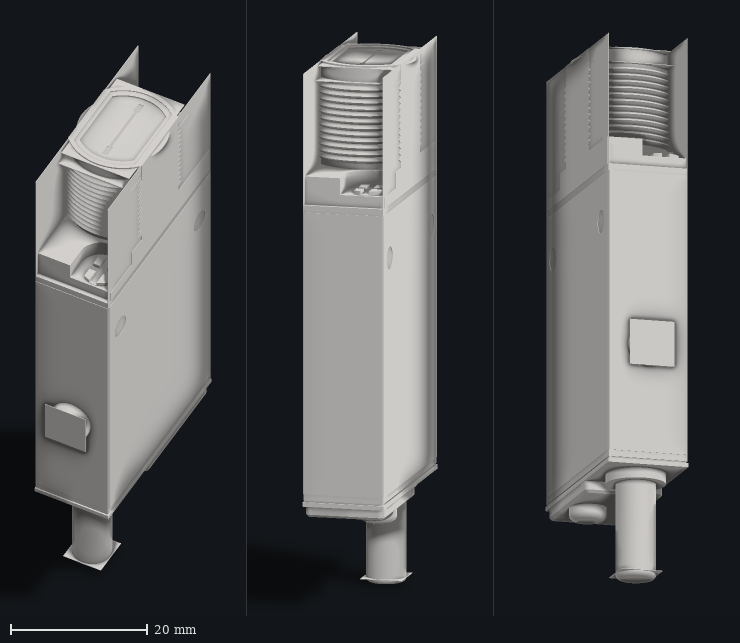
import cadquery as cq
import math

WIDTH = 12.3
DEPTH = 32.0
CASE_BOTTOM = 16.8
CASE_TOP = 59.95
CASE_CHAMFER_X = 0.2
CASE_CHAMFER_Y = 0.5
BAND_INSET = 0.2
LOWER_BAND_TOP = 17.75

BASE_BOTTOM = 15.9
GROOVE_HEIGHT = 0.25
GROOVE_DEPTH = 0.25

HEAD_DEPTH = 30.5
HEAD_BAND_TOP = 61.0
SHOULDER_Z = 65.2
POCKET_FLOOR_Z = 62.7
POCKET_OVERLAP = 0.65
POCKET_WALL_Y = 8.6
POCKET_CORNER_RADIUS = 3.2

SCREW_X = 3.0
SCREW_Y = 12.3
SCREW_RADIUS = 2.75
SCREW_FLAT_X = 1.3
SCREW_RISE = 0.65
SCREW_SLOT_WIDTH = 1.2
SCREW_SLOT_DEPTH = 0.6

TOP_Z = 80.7
ROOT_RADIUS = 8.3
CREST_RADIUS = 9.0
THREAD_BOTTOM = 66.1
THREAD_TOP = 78.25
THREAD_PITCH = 1.0
LENS_HALF_WIDTH = 4.5
LENS_RADIUS = 6.8
LENS_RIM_HALF_WIDTH = 5.2
LENS_RIM_RADIUS = 7.7
RIM_RECESS = 0.2
LENS_RECESS = 0.4
MARK_DEPTH = 0.1
MARK_LENGTH = 11.45
MARK_WIDTH = 0.4
MARK_END_LENGTH = 1.7
MARK_END_WIDTH = 0.9

SHEET = 0.1
SIDE_PLATE_INSET = 0.1
TOP_COLLAR_SIZE = (11.3, 17.3)
TOP_COLLAR_DROP = 0.25
THREAD_COLLAR_SIZE = (WIDTH, 17.75)
BULGE_Z = 80.1
BULGE_REACH = 6.85
BULGE_HALF_CHORD = 3.1

MOUNT_Y = 12.3
MOUNT_Z = 53.0
MOUNT_DIAMETER = 3.4
MOUNT_DEPTH = 0.1

BUTTON_Z = 33.8
BUTTON_RADIUS = 3.2
BUTTON_REACH = 1.9
BUTTON_PLATE_SIDE = 6.8

COVER_WIDTH = 11.95
COVER_Y_MIN = -3.8
COVER_Y_MAX = 15.3
COVER_BOTTOM = 14.2
COVER_CORNER_RADIUS = 0.8
COVER_CHAMFER = 0.4
KNOB_X = -2.75
KNOB_Y = 5.7
KNOB_RADIUS = 2.75
KNOB_BOTTOM = 12.2
KNOB_ROUND = 1.0
GLAND_RADIUS = 4.4
GLAND_BOTTOM = 14.4

CABLE_Y = -9.6
CABLE_RADIUS = 3.0
CABLE_END_ROUND = 0.7
CABLE_PLATE_SIDE = 6.3


def block(width, depth, bottom, top):
    """Upright block centred on the Z axis."""
    return cq.Workplane("XY").workplane(offset=bottom).rect(width, depth).extrude(top - bottom)


def post(x, y, radius, bottom, top):
    """Upright cylinder."""
    return cq.Workplane("XY").workplane(offset=bottom).center(x, y).circle(radius).extrude(top - bottom)


def flatted_disc(half_width, radius, bottom, top):
    """Disc centred on the Z axis, cut flat on the -X and +X sides."""
    return post(0, 0, radius, bottom, top).intersect(block(2 * half_width, 2 * radius, bottom, top))


def make_band(bottom, top):
    """Material to cut away for a shallow band set back from the walls."""
    core = block(WIDTH - BAND_INSET, DEPTH - BAND_INSET, bottom, top)
    return block(WIDTH, DEPTH, bottom, top).cut(core)


def make_case():
    side_half = DEPTH / 2 - CASE_CHAMFER_Y
    end_half = WIDTH / 2 - CASE_CHAMFER_X
    corners = []
    for sign_x, sign_y in ((1, 1), (-1, 1), (-1, -1), (1, -1)):
        side_point = (sign_x * WIDTH / 2, sign_y * side_half)
        end_point = (sign_x * end_half, sign_y * DEPTH / 2)
        corners += [side_point, end_point] if sign_x == sign_y else [end_point, side_point]
    case = cq.Workplane("XY").workplane(offset=CASE_BOTTOM).polyline(corners).close()
    case = case.extrude(CASE_TOP - CASE_BOTTOM).cut(make_band(CASE_BOTTOM, LOWER_BAND_TOP))
    base = block(WIDTH, DEPTH, BASE_BOTTOM, CASE_BOTTOM - GROOVE_HEIGHT)
    groove_core = block(
        WIDTH - 2 * GROOVE_DEPTH, DEPTH - 2 * GROOVE_DEPTH, CASE_BOTTOM - GROOVE_HEIGHT, CASE_BOTTOM
    )
    return case.union(base).union(groove_core)


def make_screw():
    """Cross-slotted adjusting screw in the -Y pocket."""
    top = POCKET_FLOOR_Z + SCREW_RISE
    screw = post(SCREW_X, -SCREW_Y, SCREW_RADIUS, POCKET_FLOOR_Z, top)
    slot_size = (2 * SCREW_RADIUS, SCREW_SLOT_WIDTH)
    for length_x, length_y in (slot_size, slot_size[::-1]):
        slot = block(length_x, length_y, top - SCREW_SLOT_DEPTH, top).translate((SCREW_X, -SCREW_Y, 0))
        screw = screw.cut(slot)
    flat_width = WIDTH / 2 - SCREW_FLAT_X
    keep = block(flat_width, 2 * SCREW_RADIUS, POCKET_FLOOR_Z, top)
    return screw.intersect(keep.translate((SCREW_FLAT_X + flat_width / 2, -SCREW_Y, 0)))


def make_pocket():
    """Corner pocket at the -Y end, open towards +X and -Y."""
    size_x = WIDTH / 2 + POCKET_OVERLAP
    size_y = HEAD_DEPTH / 2 - POCKET_WALL_Y
    center_x = size_x / 2 - POCKET_OVERLAP
    center_y = -POCKET_WALL_Y - size_y / 2
    pocket = block(size_x, size_y, POCKET_FLOOR_Z, SHOULDER_Z).translate((center_x, center_y, 0))
    return pocket.edges("|Z and <X and >Y").fillet(POCKET_CORNER_RADIUS)


def make_head():
    head = block(WIDTH, HEAD_DEPTH, CASE_TOP, SHOULDER_Z)
    band_block = block(WIDTH, DEPTH, CASE_TOP, HEAD_BAND_TOP)
    head = head.union(band_block).cut(make_band(CASE_TOP, HEAD_BAND_TOP))
    for angle in (0, 180):
        head = head.cut(make_pocket().rotate((0, 0, 0), (0, 0, 1), angle))
        head = head.union(make_screw().rotate((0, 0, 0), (0, 0, 1), angle))
    return head


def make_neck():
    """Neck with ring-shaped thread ridges, trimmed to the width of the case."""
    ridge_count = math.floor((THREAD_TOP - THREAD_BOTTOM) / THREAD_PITCH)
    points = [(0, SHOULDER_Z), (ROOT_RADIUS, SHOULDER_Z)]
    for ridge in range(ridge_count):
        ridge_bottom = THREAD_BOTTOM + ridge * THREAD_PITCH
        points.append((ROOT_RADIUS, ridge_bottom))
        points.append((CREST_RADIUS, ridge_bottom + THREAD_PITCH / 2))
    points.append((ROOT_RADIUS, THREAD_BOTTOM + ridge_count * THREAD_PITCH))
    points += [(ROOT_RADIUS, TOP_Z), (0, TOP_Z)]
    neck = cq.Workplane("XZ").polyline(points).close().revolve(360, (0, 0), (0, 1))
    return neck.intersect(block(WIDTH, 2 * CREST_RADIUS, SHOULDER_Z, TOP_Z))


def make_lens_recess():
    """Stepped recess whose floor is the lens face, with a shallow alignment mark in its middle."""
    lens_z = TOP_Z - LENS_RECESS
    mark_bottom = lens_z - MARK_DEPTH
    recess = flatted_disc(LENS_RIM_HALF_WIDTH, LENS_RIM_RADIUS, TOP_Z - RIM_RECESS, TOP_Z)
    recess = recess.union(flatted_disc(LENS_HALF_WIDTH, LENS_RADIUS, lens_z, TOP_Z))
    recess = recess.union(block(MARK_WIDTH, MARK_LENGTH, mark_bottom, lens_z))
    end_y = (MARK_LENGTH - MARK_END_LENGTH) / 2
    for side in (-1, 1):
        mark_end = block(MARK_END_WIDTH, MARK_END_LENGTH, mark_bottom, lens_z)
        recess = recess.union(mark_end.translate((0, side * end_y, 0)))
    return recess


def make_sheets():
    """Thin plates on the two sides of the neck and thin collars around it."""
    plate_x = WIDTH / 2 - SIDE_PLATE_INSET - SHEET / 2
    plate_depth = DEPTH - 2 * SIDE_PLATE_INSET
    sheets = block(*TOP_COLLAR_SIZE, TOP_Z - TOP_COLLAR_DROP - SHEET, TOP_Z - TOP_COLLAR_DROP)
    sheets = sheets.union(block(*THREAD_COLLAR_SIZE, THREAD_TOP - SHEET, THREAD_TOP))
    bulge = (
        cq.Workplane("XY")
        .workplane(offset=BULGE_Z)
        .moveTo(-WIDTH / 2, -BULGE_HALF_CHORD)
        .lineTo(WIDTH / 2, -BULGE_HALF_CHORD)
        .threePointArc((BULGE_REACH, 0), (WIDTH / 2, BULGE_HALF_CHORD))
        .lineTo(-WIDTH / 2, BULGE_HALF_CHORD)
        .threePointArc((-BULGE_REACH, 0), (-WIDTH / 2, -BULGE_HALF_CHORD))
        .close()
        .extrude(SHEET)
    )
    sheets = sheets.union(bulge)
    for side in (-1, 1):
        plate = block(SHEET, plate_depth, HEAD_BAND_TOP, TOP_Z).translate((side * plate_x, 0, 0))
        sheets = sheets.union(plate)
    return sheets


def make_mount_marks():
    """Shallow round recesses on both wide sides."""
    marks = cq.Workplane("YZ")
    centers = [(-MOUNT_Y, MOUNT_Z), (MOUNT_Y, MOUNT_Z)]
    marks = marks.pushPoints(centers).circle(MOUNT_DIAMETER / 2).extrude(WIDTH / 2, both=True)
    return marks.cut(block(WIDTH - 2 * MOUNT_DEPTH, DEPTH, CASE_BOTTOM, CASE_TOP))


def make_button():
    """Round button on the -Y wall with a thin square face plate."""
    wall = cq.Workplane("XZ", origin=(0, -DEPTH / 2, BUTTON_Z))
    button = wall.circle(BUTTON_RADIUS).extrude(BUTTON_REACH)
    plate = wall.workplane(offset=BUTTON_REACH - SHEET).rect(BUTTON_PLATE_SIDE, BUTTON_PLATE_SIDE)
    plate = plate.extrude(SHEET)
    return button.union(plate)


def make_underside():
    cover = block(COVER_WIDTH, COVER_Y_MAX - COVER_Y_MIN, COVER_BOTTOM, BASE_BOTTOM)
    cover = cover.translate((0, (COVER_Y_MAX + COVER_Y_MIN) / 2, 0))
    cover = cover.edges("|Z").fillet(COVER_CORNER_RADIUS).faces("<Z").chamfer(COVER_CHAMFER)
    knob = post(KNOB_X, KNOB_Y, KNOB_RADIUS, KNOB_BOTTOM, COVER_BOTTOM).faces("<Z").edges().fillet(KNOB_ROUND)
    gland = post(0, CABLE_Y, GLAND_RADIUS, GLAND_BOTTOM, BASE_BOTTOM)
    return cover.union(knob).union(gland)


def make_housing():
    housing = make_case().union(make_head()).union(make_neck()).union(make_sheets())
    housing = housing.union(make_button()).union(make_underside())
    return housing.cut(make_lens_recess()).cut(make_mount_marks())


def make_cable():
    """Cable that butts against the gland, with a thin square plate at its rounded end."""
    cable = post(0, CABLE_Y, CABLE_RADIUS, 0, GLAND_BOTTOM).faces("<Z").edges().fillet(CABLE_END_ROUND)
    plate = block(CABLE_PLATE_SIDE, CABLE_PLATE_SIDE, CABLE_END_ROUND, CABLE_END_ROUND + SHEET)
    return cable.union(plate.translate((0, CABLE_Y, 0)))


housing = make_housing()
cable = make_cable()
result = cq.Compound.makeCompound([housing.val(), cable.val()])